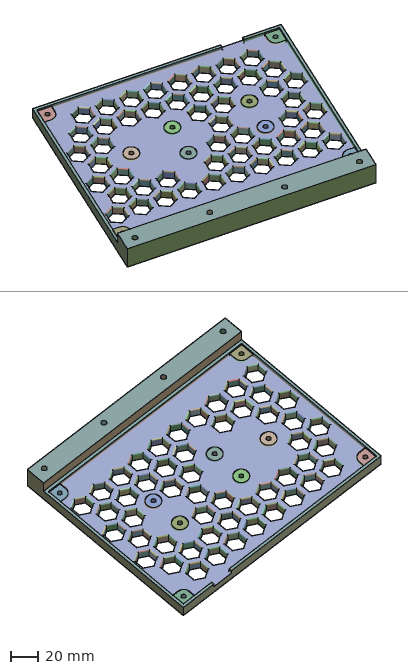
import cadquery as cq
import math

length_x = 164.5
length_y = 200.0
height = 19.5

plate_height = 9.8
bar_width = 17.2
bar_left = length_x - bar_width

rim_width = 2.5
floor_height = 6.8
floor_fillet = 0.5
pocket_right = 144.5
pocket_center_x = (rim_width + pocket_right) / 2
center_y = length_y / 2

notch_width = 17.5
notch_y = 160.2

pad_height = 1.5
boss_diameter = 12.5
screw_hole_diameter = 3.5
corner_inset = 8.2
corner_right = pocket_right + rim_width - corner_inset
corner_points = [
    (x, y)
    for x in (corner_inset, corner_right)
    for y in (corner_inset, length_y - corner_inset)
]
boss_points = [(58.5, 147.5), (86.5, 147.5), (58.5, 85.5), (86.5, 85.5), (69.2, 47.5)]

hole_floor = 2.0

bar_hole_diameter = 4.2
bar_hole_pitch = 60.2
bar_hole_count = 4
bar_hole_offset = 9.5
bar_hole_x = bar_left + bar_hole_offset

hex_sides = 6
hex_pitch = 19.5
hex_flats = 14.0
hex_fillet = 1.0
hex_center_x = 69.2
column_pitch = hex_pitch * math.sqrt(3) / 2
hex_columns = {
    -3: [n + 0.5 for n in range(-4, 4)],
    -2: list(range(-4, 5)),
    -1: [-4.5, -3.5, 0.5, 1.5, 3.5, 4.5],
    0: [-4, 1, 4],
    1: [-4.5, -3.5, 0.5, 1.5, 3.5, 4.5],
    2: [-4, -3, -2, 0, 1, 2, 3, 4],
    3: [n + 0.5 for n in range(-5, 5)],
}


def box(x0, x1, y0, y1, z0, z1):
    """Box between opposite corners."""
    return cq.Workplane("XY").box(x1 - x0, y1 - y0, z1 - z0, centered=False).translate((x0, y0, z0))


def make_body():
    """Plate with its raised bar, pocket and rim notch."""
    body = box(0, length_x, 0, length_y, 0, plate_height)
    body = body.union(box(bar_left, length_x, 0, length_y, 0, height))
    pocket = box(rim_width, pocket_right, rim_width, length_y - rim_width, floor_height, plate_height)
    notch_start = notch_y - notch_width / 2
    notch = box(0, rim_width, notch_start, notch_start + notch_width, floor_height, plate_height)
    return body.cut(pocket).cut(notch)


def corner_pad(x, y):
    """Pad filling a pocket corner, rounded about its hole on the inner side."""
    r = boss_diameter / 2
    side_x = -1 if x < pocket_center_x else 1
    side_y = -1 if y < center_y else 1
    wall_x = rim_width if side_x < 0 else pocket_right
    wall_y = rim_width if side_y < 0 else length_y - rim_width
    arc_mid = (x - side_x * r * math.sqrt(0.5), y - side_y * r * math.sqrt(0.5))
    return (
        cq.Workplane("XY", origin=(0, 0, floor_height))
        .moveTo(wall_x, wall_y)
        .lineTo(x - side_x * r, wall_y)
        .lineTo(x - side_x * r, y)
        .threePointArc(arc_mid, (x, y - side_y * r))
        .lineTo(wall_x, y - side_y * r)
        .close()
        .extrude(pad_height)
    )


def blind_holes(points, diameter, bottom):
    """Round cutters running up from a given bottom level."""
    return cq.Workplane("XY", origin=(0, 0, bottom)).pushPoints(points).circle(diameter / 2).extrude(height)


def floor_face(body):
    """Face of the pocket floor."""
    return body.faces(cq.NearestToPointSelector((pocket_center_x, center_y, floor_height))).val()


def fillet_floor(body):
    """Round the foot of every wall, pad and boss; the notch stays open to the outside."""
    outer_edge_tolerance = 0.02
    edges = [edge for edge in floor_face(body).Edges() if edge.Center().x > outer_edge_tolerance]
    return cq.Workplane(body.val().fillet(floor_fillet, edges))


def cut_hexagons(body):
    """Hexagonal openings through the floor, rounded along their upper rims."""
    points = [
        (hex_center_x + column * column_pitch, center_y + row * hex_pitch)
        for column, rows in hex_columns.items()
        for row in rows
    ]
    hex_across_corners = hex_flats * 2 / math.sqrt(3)
    cells = cq.Workplane("XY").pushPoints(points).polygon(hex_sides, hex_across_corners)
    body = body.cut(cells.extrude(floor_height))
    rims = [wire for wire in floor_face(body).innerWires() if len(wire.Edges()) == hex_sides]
    rim_edges = [edge for wire in rims for edge in wire.Edges()]
    return cq.Workplane(body.val().fillet(hex_fillet, rim_edges))


result = make_body()

for corner_x, corner_y in corner_points:
    result = result.union(corner_pad(corner_x, corner_y))

bosses = (
    cq.Workplane("XY", origin=(0, 0, floor_height))
    .pushPoints(boss_points)
    .circle(boss_diameter / 2)
    .extrude(pad_height)
)
result = result.union(bosses)

result = cut_hexagons(fillet_floor(result))

bar_points = [
    (bar_hole_x, center_y + (n - (bar_hole_count - 1) / 2) * bar_hole_pitch)
    for n in range(bar_hole_count)
]
result = result.cut(blind_holes(bar_points, bar_hole_diameter, plate_height))
result = result.cut(blind_holes(corner_points + boss_points, screw_hole_diameter, hole_floor))